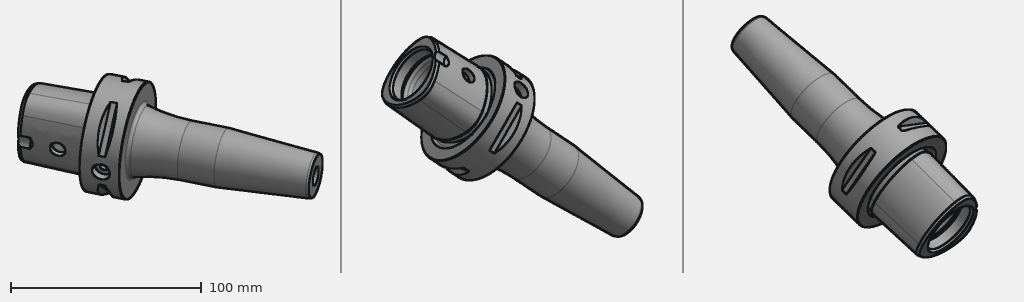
import cadquery as cq
import math

total_length = 158.0

polygon_radius = 22.0
lobe_height = 1.6
polygon_end_x = 36.0
polygon_taper = 1 / 40
polygon_chamfer_length = 1.7
polygon_chamfer_depth = 0.8
polygon_relief = 0.5
lobe_count = 3
points_per_span = 9

flange_diameter = 63.0
flange_radius = flange_diameter / 2
flange_start_x = 37.9
flange_end_x = 60.0
flange_chamfer = 0.3
recess_radius = 22.6
recess_depth = 1.6

groove_count = 4
groove_x = 50.0
groove_floor_width = 3.5
groove_floor_distance = 28.0
groove_wall_angle = 30.0

neck_radius = 19.1
neck_fillet = 2.0
barrel_radius = 16.0
barrel_start_x = 86.9
barrel_end_x = 107.1
nose_radius = 12.3
nose_chamfer = 1.5
nose_chamfer_depth = 0.5

mouth_radius = 16.1
lip_radius = 15.2
lip_start_x = 1.6
lip_end_x = 7.7
clamp_groove_radius = 16.5
clamp_groove_end_x = 9.6
clamp_groove_rounding = 1.6
lead_in_radius = 14.0
main_bore_radius = 13.6
main_bore_start_x = 13.6
main_bore_end_x = 37.9
stop_bore_radius = 9.0
stop_bore_chamfer = 1.1
stop_bore_end_x = 53.7
tool_bore_radius = 5.0
drill_half_angle = 59.0

index_hole_x = 22.5
index_hole_radius = 4.3
index_hole_floor = 16.5
flange_hole_radius = 4.9
flange_hole_floor = 26.5
pilot_hole_radius = 2.0
pilot_hole_floor = 22.9
notch_radius = 4.9
notch_axis_distance = 22.6
notch_end_x = 6.6
notch_tip_length = 4.6


def drill_tip_length(radius):
    return radius / math.tan(math.radians(drill_half_angle))


def polygon_point(x, radius, angle):
    """Point of the constant-width polygon whose outward normal is at the angle from +Y."""
    support = radius + lobe_height * math.cos(lobe_count * angle)
    slope = -lobe_count * lobe_height * math.sin(lobe_count * angle)
    y = support * math.cos(angle) - slope * math.sin(angle)
    z = support * math.sin(angle) + slope * math.cos(angle)
    return cq.Vector(x, y, z)


def polygon_wire(x, radius):
    """Closed outline of alternating lobe and flank curves, joined tangentially."""
    span = math.pi / lobe_count
    edges = []
    for index in range(2 * lobe_count):
        start = (index - 0.5) * span
        angles = [start + span * step / (points_per_span - 1) for step in range(points_per_span)]
        tangents = [cq.Vector(0, -math.sin(a), math.cos(a)) for a in (angles[0], angles[-1])]
        points = [polygon_point(x, radius, a) for a in angles]
        edges.append(cq.Edge.makeSpline(points, tangents=tangents))
    return cq.Wire.assembleEdges(edges)


def polygon_frustum(start_x, start_radius, end_x, end_radius):
    wires = [polygon_wire(start_x, start_radius), polygon_wire(end_x, end_radius)]
    return cq.Workplane(obj=cq.Solid.makeLoft(wires, True))


def polygon_shank():
    chamfer_end_radius = polygon_radius - polygon_taper * (polygon_end_x - polygon_chamfer_length)
    face_radius = chamfer_end_radius - polygon_chamfer_depth
    neck = polygon_radius - polygon_relief
    tip = polygon_frustum(0, face_radius, polygon_chamfer_length, chamfer_end_radius)
    taper = polygon_frustum(polygon_chamfer_length, chamfer_end_radius, polygon_end_x, polygon_radius)
    relief = polygon_frustum(polygon_end_x, neck, flange_start_x + recess_depth, neck)
    return tip.union(taper).union(relief)


def revolve_about_x(outline):
    return outline.close().revolve(360, (0, 0, 0), (1, 0, 0))


def flange_and_nose():
    """Flange with a face recess, blending neck, barrel and tapered nose."""
    neck_x = flange_end_x + neck_fillet
    run = barrel_start_x - neck_x
    drop = neck_radius - barrel_radius
    neck_arc_radius = (run ** 2 + drop ** 2) / (2 * drop)
    half_sweep = math.asin(run / neck_arc_radius) / 2
    neck_middle = (
        barrel_start_x - neck_arc_radius * math.sin(half_sweep),
        barrel_radius + neck_arc_radius * (1 - math.cos(half_sweep)),
    )
    outline = (
        cq.Workplane("XY")
        .moveTo(flange_start_x + recess_depth, 0)
        .lineTo(flange_start_x + recess_depth, recess_radius)
        .radiusArc((flange_start_x, recess_radius + recess_depth), -recess_depth)
        .lineTo(flange_start_x, flange_radius - flange_chamfer)
        .lineTo(flange_start_x + flange_chamfer, flange_radius)
        .lineTo(flange_end_x - flange_chamfer, flange_radius)
        .lineTo(flange_end_x, flange_radius - flange_chamfer)
        .lineTo(flange_end_x, neck_radius + neck_fillet)
        .radiusArc((neck_x, neck_radius), -neck_fillet)
        .threePointArc(neck_middle, (barrel_start_x, barrel_radius))
        .lineTo(barrel_end_x, barrel_radius)
        .lineTo(total_length - nose_chamfer, nose_radius)
        .lineTo(total_length, nose_radius - nose_chamfer_depth)
        .lineTo(total_length, 0)
    )
    return revolve_about_x(outline)


def stepped_bore():
    cone_run = (stop_bore_radius - tool_bore_radius) / math.tan(math.radians(drill_half_angle))
    clamp_groove_flare = clamp_groove_radius - lip_radius
    lead_in_x = clamp_groove_end_x + clamp_groove_rounding
    outline = (
        cq.Workplane("XY")
        .lineTo(0, mouth_radius)
        .lineTo(lip_start_x, lip_radius)
        .lineTo(lip_end_x, lip_radius)
        .lineTo(lip_end_x + clamp_groove_flare, clamp_groove_radius)
        .lineTo(clamp_groove_end_x, clamp_groove_radius)
        .lineTo(clamp_groove_end_x, lead_in_radius + clamp_groove_rounding)
        .radiusArc((lead_in_x, lead_in_radius), -clamp_groove_rounding)
        .lineTo(main_bore_start_x, main_bore_radius)
        .lineTo(main_bore_end_x, main_bore_radius)
        .lineTo(main_bore_end_x, stop_bore_radius + stop_bore_chamfer)
        .lineTo(main_bore_end_x + stop_bore_chamfer, stop_bore_radius)
        .lineTo(stop_bore_end_x, stop_bore_radius)
        .lineTo(stop_bore_end_x + cone_run, tool_bore_radius)
        .lineTo(total_length, tool_bore_radius)
        .lineTo(total_length, 0)
    )
    return revolve_about_x(outline)


def gripper_groove(angle):
    """Straight V-sided groove across the flange, facing the given angle about X."""
    height = flange_radius - groove_floor_distance
    flare = 2 * height * math.tan(math.radians(groove_wall_angle))
    half_floor = groove_floor_width / 2
    half_top = half_floor + flare / 2
    section = (
        cq.Workplane("XZ", origin=(groove_x, flange_radius, 0))
        .polyline([
            (-half_floor, groove_floor_distance),
            (half_floor, groove_floor_distance),
            (half_top, flange_radius),
            (-half_top, flange_radius),
        ])
        .close()
        .extrude(2 * flange_radius)
    )
    return section.rotate((0, 0, 0), (1, 0, 0), angle)


def drilled_pocket(start, direction, radius, depth, tip_length):
    """Round hole along the direction, ending in a cone."""
    body = cq.Solid.makeCylinder(radius, depth, start, direction)
    tip = cq.Solid.makeCone(radius, 0, tip_length, start + direction * depth, direction)
    return cq.Workplane(obj=body).union(cq.Workplane(obj=tip))


def radial_hole(x, radius, floor_distance, tip_length):
    start = cq.Vector(x, -flange_radius, 0)
    return drilled_pocket(start, cq.Vector(0, 1, 0), radius, flange_radius - floor_distance, tip_length)


def end_notch():
    start = cq.Vector(0, -notch_axis_distance, 0)
    return drilled_pocket(start, cq.Vector(1, 0, 0), notch_radius, notch_end_x, notch_tip_length)


def flange_hole():
    """Flat-bottomed hole with a smaller drilled hole in its floor."""
    pilot = radial_hole(groove_x, pilot_hole_radius, pilot_hole_floor, drill_tip_length(pilot_hole_radius))
    depth = flange_radius - flange_hole_floor
    start = cq.Vector(groove_x, -flange_radius, 0)
    wide = cq.Solid.makeCylinder(flange_hole_radius, depth, start, cq.Vector(0, 1, 0))
    return pilot.union(cq.Workplane(obj=wide))


result = polygon_shank().union(flange_and_nose()).cut(stepped_bore())
for index in range(groove_count):
    result = result.cut(gripper_groove(360 / groove_count * (index + 0.5)))
result = result.cut(
    radial_hole(index_hole_x, index_hole_radius, index_hole_floor, drill_tip_length(index_hole_radius))
)
result = result.cut(flange_hole()).cut(end_notch())